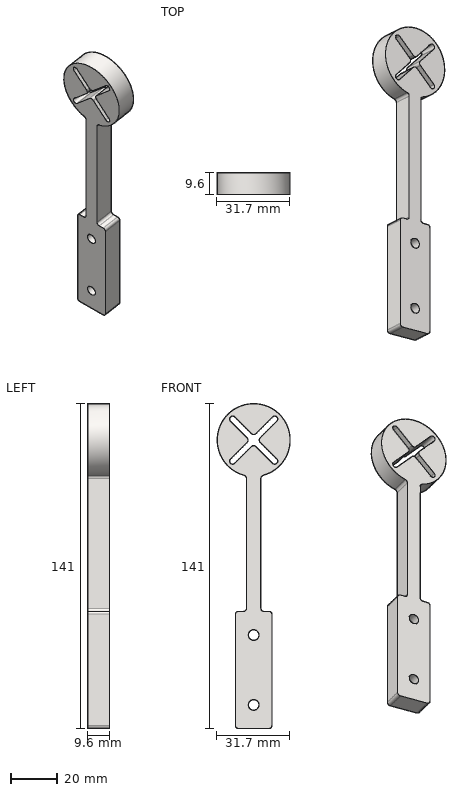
import cadquery as cq
import math

total_height = 141.0
thickness = 9.6

head_diameter = 31.7
head_center_z = total_height - head_diameter / 2
slot_width = 2.5
slot_length = 28.3
slot_angles = (45, 135)
slot_crossing_radius = 1.4

stem_width = 6.3
neck_radius = 1.4
stem_foot_radius = 1.3

base_width = 16.0
base_height = 50.9
base_top_radius = 1.3
base_bottom_radius = 1.4
hole_diameter = 4.5
hole_edge_distance = 10.3

pick_margin = 0.01


def front_plane(z):
    """Sketch plane facing -Y, centered on the part at height z."""
    return cq.Workplane("XZ", origin=(0, 0, z))


def round_depth_edges(body, x, z, radius):
    """Fillet the mirrored pair of front-to-back edges at +/-x and height z."""
    for side in (-1, 1):
        edge_finder = cq.selectors.BoxSelector(
            (side * x - pick_margin, -thickness, z - pick_margin),
            (side * x + pick_margin, thickness, z + pick_margin),
        )
        body = body.edges("|Y").edges(edge_finder).fillet(radius)
    return body


def make_body():
    """Base, stem and head joined, with their outline corners rounded."""
    half_thickness = thickness / 2
    base = front_plane(base_height / 2).rect(base_width, base_height).extrude(half_thickness, both=True)
    stem_height = head_center_z - base_height
    stem = front_plane(base_height + stem_height / 2).rect(stem_width, stem_height)
    stem = stem.extrude(half_thickness, both=True)
    head = front_plane(head_center_z).circle(head_diameter / 2).extrude(half_thickness, both=True)
    body = base.union(stem).union(head)

    head_drop = math.sqrt((head_diameter / 2) ** 2 - (stem_width / 2) ** 2)
    body = round_depth_edges(body, stem_width / 2, head_center_z - head_drop, neck_radius)
    body = round_depth_edges(body, stem_width / 2, base_height, stem_foot_radius)
    body = round_depth_edges(body, base_width / 2, base_height, base_top_radius)
    return round_depth_edges(body, base_width / 2, 0, base_bottom_radius)


def make_cross_cutter():
    """Two round-ended slots crossing at the head center, inner corners rounded."""
    cutter = cq.Workplane("XZ")
    for angle in slot_angles:
        slot = front_plane(head_center_z).slot2D(slot_length, slot_width, angle)
        cutter = cutter.union(slot.extrude(thickness, both=True))
    crossing_zone = cq.selectors.BoxSelector(
        (-slot_width, -thickness, head_center_z - slot_width),
        (slot_width, thickness, head_center_z + slot_width),
    )
    return cutter.edges("|Y").edges(crossing_zone).fillet(slot_crossing_radius)


def make_hole_cutter():
    """Mounting holes, equally far from the top and bottom of the base."""
    hole_spacing = base_height - 2 * hole_edge_distance
    holes = front_plane(base_height / 2).rarray(1.4, hole_spacing, 1, 2).circle(hole_diameter / 2)
    return holes.extrude(thickness, both=True)


result = make_body().cut(make_cross_cutter()).cut(make_hole_cutter())